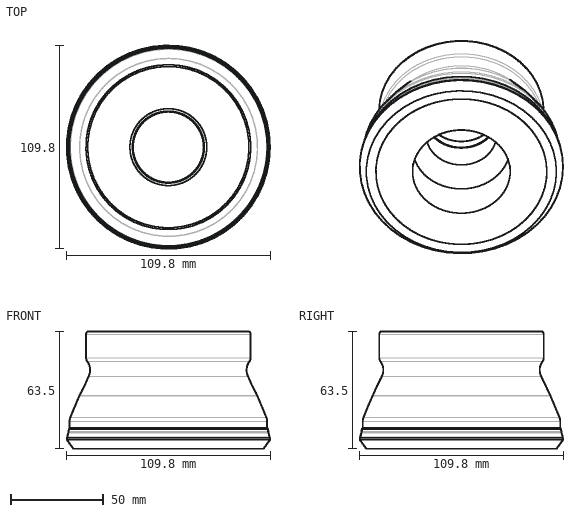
import cadquery as cq
import math

OUTER_RADIUS = 54.9
HEIGHT = 63.5

HEAD_RADIUS = 44.5
HEAD_BOTTOM_Z = 49.2
HEAD_ROUND_HEIGHT = 1.6
HEAD_ROUND_INSET = 1.0

WAIST_RADIUS = 42.3
WAIST_CONVEX_ROUND = 3.3
WAIST_HOLLOW_ROUND = 7.7

SKIRT_RADIUS = 53.4
UPPER_CONE_ANGLE = math.radians(25.5)
LOWER_CONE_ANGLE = math.radians(22.7)
CONE_JOINT_Z = 28.9
CONE_JOINT_ROUND = 9.9
SKIRT_ROUND = 5.5

SEAT_TOP_Z = 11.3
SEAT_SHOULDER_Z = 6.0
SEAT_SHOULDER_RADIUS = 54.6
SEAT_INNER_RADIUS = 46.1

BORE_RADIUS = 19.0
BORE_MOUTH_RADIUS = 19.5
BORE_MOUTH_DEPTH = 7.9
BORE_CHAMFER_RADIUS = 20.8
BORE_CHAMFER_DEPTH = 1.0
BORE_BOTTOM_Z = 37.7
RECESS_RADIUS = 26.4
RECESS_CONE_ANGLE = math.radians(30)

RING_LIP_RADIUS = 53.8
RING_LIP_Z = 10.7
RING_STEP_RADIUS = 54.1
RING_STEP_TOP_Z = 9.7
RING_STEP_BOTTOM_Z = 9.3
RING_CONE_TOP_RADIUS = 54.2
RING_CONE_TOP_Z = 8.7
RING_CONE_BOTTOM_RADIUS = 54.7
RING_CONE_BOTTOM_Z = 6.7
RING_ROUND_INSET = 0.1
RING_ROUND_TOP_Z = 6.0
RING_EDGE_TOP_Z = 5.4
RING_EDGE_BOTTOM_Z = 4.9
RING_FOOT_RADIUS = 51.3


def arc_point(center, radius, angle):
    """Point of a circle in the (r, z) half plane; the angle runs from the +r direction."""
    return (center[0] + radius * math.cos(angle), center[1] + radius * math.sin(angle))


def add_round_corner(profile, corner, angle_before, angle_after, radius):
    """Run a descending profile to a convex corner and round it. Angles are slopes from the axis."""
    tangent = radius * math.tan((angle_before - angle_after) / 2)
    start = (
        corner[0] - tangent * math.sin(angle_before),
        corner[1] + tangent * math.cos(angle_before),
    )
    center = (
        start[0] - radius * math.cos(angle_before),
        start[1] - radius * math.sin(angle_before),
    )
    middle = arc_point(center, radius, (angle_before + angle_after) / 2)
    end = arc_point(center, radius, angle_after)
    return profile.lineTo(*start).threePointArc(middle, end)


def add_head(profile):
    """Top face edge, rounded rim and cylinder of the head."""
    rim_angle = 2 * math.atan(HEAD_ROUND_INSET / HEAD_ROUND_HEIGHT)
    rim_radius = HEAD_ROUND_HEIGHT / math.sin(rim_angle)
    rim_center = (HEAD_RADIUS - rim_radius, HEIGHT - HEAD_ROUND_HEIGHT)
    return (
        profile.lineTo(HEAD_RADIUS - HEAD_ROUND_INSET, HEIGHT)
        .threePointArc(arc_point(rim_center, rim_radius, rim_angle / 2), (HEAD_RADIUS, rim_center[1]))
        .lineTo(HEAD_RADIUS, HEAD_BOTTOM_Z)
    )


def add_waist_and_skirt(profile):
    """Waist rounds, the two cones and the cylinder of the skirt, down to the ring seat."""
    round_sum = WAIST_CONVEX_ROUND + WAIST_HOLLOW_ROUND
    turn = math.acos(1 - (HEAD_RADIUS - WAIST_RADIUS) / round_sum)
    convex_center = (HEAD_RADIUS - WAIST_CONVEX_ROUND, HEAD_BOTTOM_Z)
    hollow_center = arc_point(convex_center, round_sum, -turn)
    hollow_end = arc_point(hollow_center, WAIST_HOLLOW_ROUND, math.pi + UPPER_CONE_ANGLE)
    profile = profile.threePointArc(
        arc_point(convex_center, WAIST_CONVEX_ROUND, -turn / 2),
        arc_point(convex_center, WAIST_CONVEX_ROUND, -turn),
    ).threePointArc((WAIST_RADIUS, hollow_center[1]), hollow_end)

    joint_radius = hollow_end[0] + (hollow_end[1] - CONE_JOINT_Z) * math.tan(UPPER_CONE_ANGLE)
    skirt_top_z = CONE_JOINT_Z - (SKIRT_RADIUS - joint_radius) / math.tan(LOWER_CONE_ANGLE)
    profile = add_round_corner(
        profile, (joint_radius, CONE_JOINT_Z), UPPER_CONE_ANGLE, LOWER_CONE_ANGLE, CONE_JOINT_ROUND
    )
    profile = add_round_corner(
        profile, (SKIRT_RADIUS, skirt_top_z), LOWER_CONE_ANGLE, 0, SKIRT_ROUND
    )
    return profile.lineTo(SKIRT_RADIUS, SEAT_TOP_Z)


def revolve_profile(profile):
    """Close the (r, z) profile and turn it about the Z axis."""
    return profile.close().revolve(360, (0, 0, 0), (0, 1, 0))


def make_body():
    """Hollow turned body, from the recess at its foot up the bore and down the outside."""
    recess_top_z = BORE_BOTTOM_Z - (RECESS_RADIUS - BORE_RADIUS) / math.tan(RECESS_CONE_ANGLE)
    mouth_step_z = HEIGHT - BORE_MOUTH_DEPTH
    profile = (
        cq.Workplane("YZ")
        .moveTo(RECESS_RADIUS, 0)
        .lineTo(RECESS_RADIUS, recess_top_z)
        .lineTo(BORE_RADIUS, BORE_BOTTOM_Z)
        .lineTo(BORE_RADIUS, mouth_step_z)
        .lineTo(BORE_MOUTH_RADIUS, mouth_step_z)
        .lineTo(BORE_MOUTH_RADIUS, HEIGHT - BORE_CHAMFER_DEPTH)
        .lineTo(BORE_CHAMFER_RADIUS, HEIGHT)
    )
    profile = add_head(profile)
    profile = add_waist_and_skirt(profile)
    profile = (
        profile.lineTo(SEAT_SHOULDER_RADIUS, SEAT_SHOULDER_Z)
        .lineTo(SEAT_INNER_RADIUS, SEAT_SHOULDER_Z)
        .lineTo(SEAT_INNER_RADIUS, 0)
    )
    return revolve_profile(profile)


def make_rim_ring():
    """Ring around the foot of the body: a thin skirt over the seat and a chamfered rim below it."""
    round_turn = 2 * math.atan(RING_ROUND_INSET / (RING_ROUND_TOP_Z - RING_EDGE_TOP_Z))
    round_radius = (RING_ROUND_TOP_Z - RING_EDGE_TOP_Z) / math.sin(round_turn)
    round_center = (OUTER_RADIUS - round_radius, RING_EDGE_TOP_Z)
    round_middle = arc_point(round_center, round_radius, round_turn / 2)
    profile = (
        cq.Workplane("XZ")
        .moveTo(SEAT_INNER_RADIUS, 0)
        .lineTo(SEAT_INNER_RADIUS, SEAT_SHOULDER_Z)
        .lineTo(SEAT_SHOULDER_RADIUS, SEAT_SHOULDER_Z)
        .lineTo(SKIRT_RADIUS, SEAT_TOP_Z)
        .lineTo(RING_LIP_RADIUS, RING_LIP_Z)
        .lineTo(RING_STEP_RADIUS, RING_STEP_TOP_Z)
        .lineTo(RING_STEP_RADIUS, RING_STEP_BOTTOM_Z)
        .lineTo(RING_CONE_TOP_RADIUS, RING_CONE_TOP_Z)
        .lineTo(RING_CONE_BOTTOM_RADIUS, RING_CONE_BOTTOM_Z)
        .lineTo(OUTER_RADIUS - RING_ROUND_INSET, RING_ROUND_TOP_Z)
        .threePointArc(round_middle, (OUTER_RADIUS, RING_EDGE_TOP_Z))
        .lineTo(OUTER_RADIUS, RING_EDGE_BOTTOM_Z)
        .lineTo(RING_FOOT_RADIUS, 0)
    )
    return revolve_profile(profile)


body = make_body()
rim_ring = make_rim_ring()
result = cq.Compound.makeCompound([body.val(), rim_ring.val()])